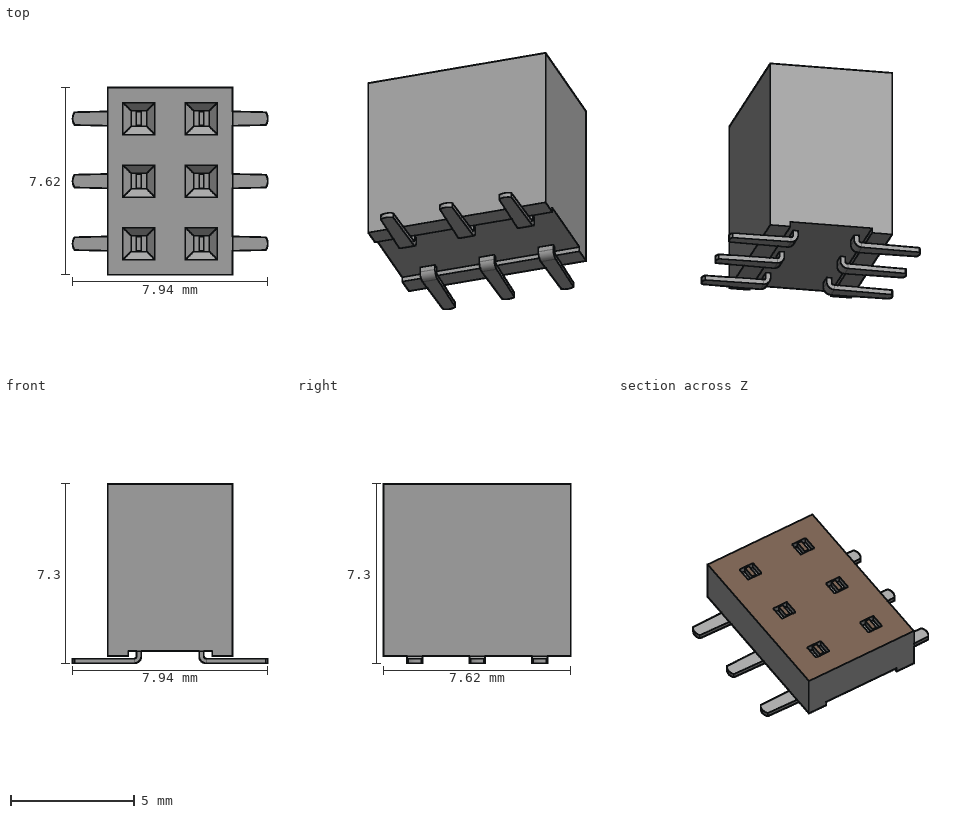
import cadquery as cq

pitch = 2.54
rows = 3
columns = 2

housing_x = columns * pitch
housing_y = rows * pitch
housing_bottom = 0.3
housing_top = 7.3
recess_width = 3.4
recess_depth = 0.2
recess_ceiling = housing_bottom + recess_depth

mouth_size = 1.3
shaft_size = 0.64
mouth_depth = (mouth_size - shaft_size) / 2
shaft_floor = 2.0

strip_thickness = 0.2
strip_width = 0.64
tip_width = 0.53
bend_inner_radius = 0.1
bend_outer_radius = bend_inner_radius + strip_thickness
overall_x = 7.94
lead_reach = overall_x / 2
tip_bulge = 0.085
post_width = 0.56
post_height = 0.5
column_x = pitch / 2
riser_inner_x = column_x - strip_thickness / 2
riser_outer_x = column_x + strip_thickness / 2
bend_start_x = riser_inner_x + bend_outer_radius


def make_housing():
    """Block with a recess along Y across the middle of its underside."""
    block = (
        cq.Workplane("XY")
        .workplane(offset=housing_bottom)
        .rect(housing_x, housing_y)
        .extrude(housing_top - housing_bottom)
    )
    recess = (
        cq.Workplane("XY")
        .workplane(offset=housing_bottom)
        .rect(recess_width, housing_y)
        .extrude(recess_depth)
    )
    return block.cut(recess)


def make_socket():
    """Cavity of one socket, centred on the Z axis."""
    mouth = (
        cq.Workplane("XY")
        .workplane(offset=housing_top)
        .rect(mouth_size, mouth_size)
        .workplane(offset=-mouth_depth)
        .rect(shaft_size, shaft_size)
        .loft(ruled=True)
    )
    shaft = (
        cq.Workplane("XY")
        .workplane(offset=shaft_floor)
        .rect(shaft_size, shaft_size)
        .extrude(housing_top - mouth_depth - shaft_floor)
    )
    return mouth.union(shaft)


def make_lead():
    """Lead on the +X side, centred on Y = 0: riser, bend and tapering foot with a rounded tip."""
    profile = (
        cq.Workplane("XZ")
        .moveTo(riser_inner_x, recess_ceiling)
        .lineTo(riser_inner_x, bend_outer_radius)
        .radiusArc((bend_start_x, 0), -bend_outer_radius)
        .lineTo(lead_reach, 0)
        .lineTo(lead_reach, strip_thickness)
        .lineTo(bend_start_x, strip_thickness)
        .radiusArc((riser_outer_x, bend_outer_radius), bend_inner_radius)
        .lineTo(riser_outer_x, recess_ceiling)
        .close()
        .extrude(strip_width / 2, both=True)
    )
    tip_start_x = lead_reach - tip_bulge
    plan = (
        cq.Workplane("XY")
        .moveTo(riser_inner_x, -strip_width / 2)
        .lineTo(bend_start_x, -strip_width / 2)
        .lineTo(tip_start_x, -tip_width / 2)
        .threePointArc((lead_reach, 0), (tip_start_x, tip_width / 2))
        .lineTo(bend_start_x, strip_width / 2)
        .lineTo(riser_inner_x, strip_width / 2)
        .close()
        .extrude(recess_ceiling)
    )
    return profile.intersect(plan)


def make_post():
    """Upper end of a contact, standing on the shaft floor on the Z axis."""
    return (
        cq.Workplane("XY")
        .workplane(offset=shaft_floor)
        .rect(strip_thickness, post_width)
        .extrude(post_height)
    )


socket = make_socket()
post = make_post()
right_lead = make_lead()
left_lead = right_lead.mirror("YZ")

result = make_housing()
for row in range(rows):
    row_y = (row - (rows - 1) / 2) * pitch
    for side_x, lead in ((-column_x, left_lead), (column_x, right_lead)):
        result = result.cut(socket.translate((side_x, row_y, 0)))
        result = result.union(post.translate((side_x, row_y, 0)))
        result = result.union(lead.translate((0, row_y, 0)))